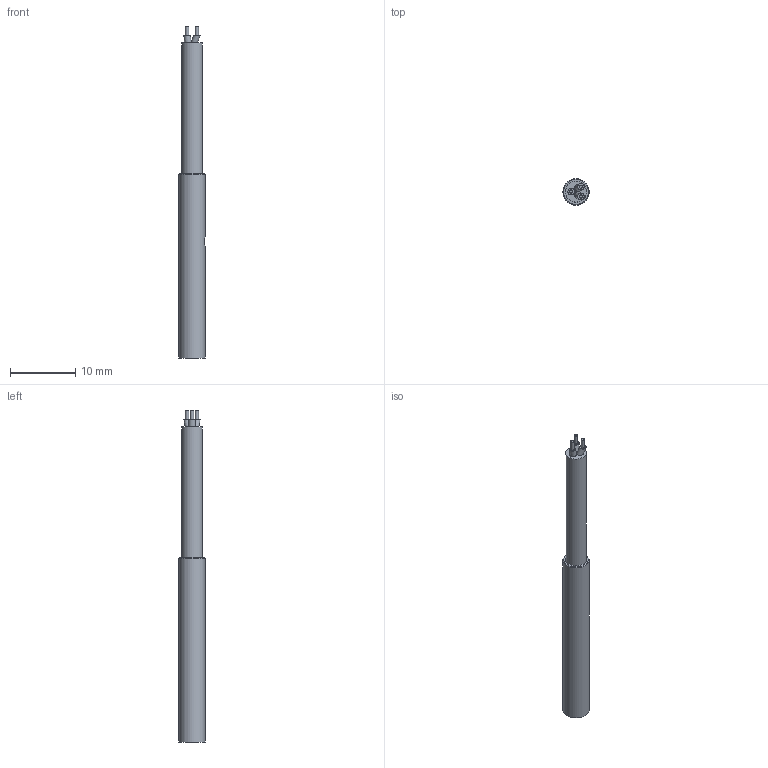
import cadquery as cq
import math

total_length = 50.8
sleeve_length = 28.2
jacket_length = 20.0
conductor_length = 1.5
jacket_top = sleeve_length + jacket_length
insulation_top = total_length - conductor_length

sleeve_diameter = 4.0
jacket_diameter = 3.2
insulation_diameter = 1.0
conductor_diameter = 0.5

sleeve_rim_radius = 0.1

bundle_radius = 0.63
spread = 0.75
conductor_positions = [(-spread, 0), (spread, -spread), (spread, spread)]

window_diameter = 1.5
window_height = 17.8
window_depth = 0.2


def cylinder(diameter, bottom, top, center=(0, 0)):
    """Upright cylinder between two heights."""
    return cq.Workplane("XY", origin=(*center, bottom)).circle(diameter / 2).extrude(top - bottom)


def window_cut():
    """Cutter for the shallow flat-bottomed round window facing +X."""
    floor = sleeve_diameter / 2 - window_depth
    return (
        cq.Workplane("YZ", origin=(floor, 0, window_height))
        .circle(window_diameter / 2)
        .extrude(sleeve_diameter / 2)
    )


def make_sleeve():
    """Sleeve with a rounded top rim and the window."""
    sleeve = cylinder(sleeve_diameter, 0, sleeve_length)
    sleeve = sleeve.faces(">Z").edges().fillet(sleeve_rim_radius)
    return sleeve.cut(window_cut())


def bundle_position(index):
    """Centre of a wire at the jacket end, counted round from -X."""
    angle = math.pi + index * 2 * math.pi / len(conductor_positions)
    return bundle_radius * math.cos(angle), bundle_radius * math.sin(angle)


def make_wire(start, end):
    """Insulation leaning from start to end, with an upright bare conductor on top."""
    insulation = (
        cq.Workplane("XY", origin=(*start, jacket_top))
        .circle(insulation_diameter / 2)
        .workplane(offset=insulation_top - jacket_top)
        .center(end[0] - start[0], end[1] - start[1])
        .circle(insulation_diameter / 2)
        .loft(ruled=True)
    )
    conductor = cylinder(conductor_diameter, insulation_top, total_length, end)
    return insulation.union(conductor)


result = make_sleeve().union(cylinder(jacket_diameter, sleeve_length, jacket_top))
for index, position in enumerate(conductor_positions):
    result = result.union(make_wire(bundle_position(index), position))